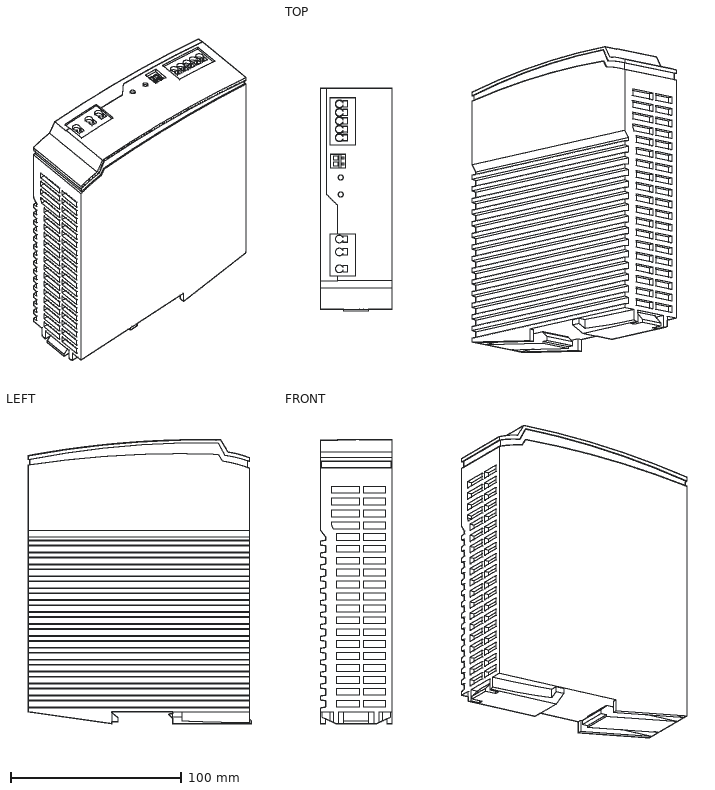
import cadquery as cq
import math

WIDTH = 42.0
DEPTH = 130.0
HEIGHT = 167.0
FLOOR_Z = 7.0
OVERCUT = 5.0

CAP_TOP = dict(front_z=156.3, nose=(12.7, 159.7), crown_y=17.0, apex=(28.0, HEIGHT), rear_z=157.6)
CAP_UNDERSIDE = dict(front_z=154.1, nose=(14.5, 157.7), crown_y=18.4, apex=(28.0, 165.1), rear_z=155.1)
SHOULDER = dict(front_z=150.2, nose=(16.0, 154.4), crown_y=18.4, apex=(41.0, 158.7), rear_z=152.0)

SLOPE_BULGE = 0.4

GROOVE_SIDE = 0.7
GROOVE_FRONT = 1.1
GROOVE_REAR = 0.8

BORDER_DROP = 0.3
BORDER_NARROW = 3.4
BORDER_WIDE = 9.9
BORDER_BEND_Y = 67.8

FIN_DEPTH = 3.0
FIN_PITCH = 7.0
FIN_COUNT = 15
FIRST_FIN_TOP = 9.4
FIN_TIP_GAP = 4.5
FIN_TOP_TAPER = 0.5
FIN_BOTTOM_TAPER = 0.4
FIN_RELIEF_ROOT_Z = 109.7
FIN_RELIEF_TIP_Z = 113.6

VENT_DEPTH = 3.0
VENT_HEIGHT = 4.0
VENT_PITCH = 7.0
LONG_VENT_ROWS = 4
LONG_VENT_TOP = 139.5
SHORT_VENT_ROWS = 15
SHORT_VENT_TOP = 111.8
LEFT_VENT_END = 23.0
LONG_VENT_START = 6.5
SHORT_VENT_START = 9.4
RIGHT_VENT = (25.3, 38.3)
VENT_CORNER_WIDTH = 1.0
VENT_CORNER_HEIGHT = 2.2

BLOCK_X = (5.7, 20.6)
BLOCK_RECESS = 1.6
REAR_BLOCK_Y = (96.5, 124.6)
FRONT_BLOCK_Y = (19.7, 44.4)
REAR_TERMINAL_COUNT = 5
REAR_TERMINAL_PITCH = 5.0
LAST_TERMINAL_Y = 121.2
REAR_TERMINALS_Y = [LAST_TERMINAL_Y - REAR_TERMINAL_PITCH * i for i in range(REAR_TERMINAL_COUNT)]
FRONT_TERMINALS_Y = [41.4, 33.8, 23.9]
WIRE_HOLE_X = 11.1
WIRE_HOLE_DIAMETER = 4.5
RELEASE_SLOT_X = (13.2, 15.9)
RELEASE_SLOT_LENGTH = 3.8
TERMINAL_DEPTH = 4.0

SWITCH_X = (5.8, 14.6)
SWITCH_Y = (83.1, 91.3)
SWITCH_RECESS = 2.0
SWITCH_KEY_X = (7.5, 10.4)
SWITCH_KEY_LENGTH = 2.3
SWITCH_KEYS_Y = (85.7, 89.2)
SWITCH_GROOVE_X = (10.9, 12.0)
SWITCH_MARK_X = (12.7, 13.9)
SWITCH_MARK_LENGTH = 1.2
SWITCH_DETAIL_DEPTH = 1.0
INDICATOR_X = 11.9
INDICATORS_Y = (67.6, 77.6)
INDICATOR_DIAMETER = 3.0
INDICATOR_DEPTH = 1.5

REAR_FOOT_Y = 80.8
FOOT_WALL = 3.0
HOOK_TIP_Y = 77.2
HOOK_BOTTOM_Z = 1.1
HOOK_TIP_Z = 3.6
HOOK_ROOT_Z = 6.6

FRONT_FOOT_Y = 45.2
FLANK_BLOCK_Y = 39.8
FLANK_X = 0.8
FLANK_Z = 3.9
FLANK_TIP_X = 9.2
RIB_X = (7.5, 10.6)
RIB_REAR_X = 5.6
RIB_CURVE_X = 7.1
LEVER_SLOT_DEPTH = 6.0

LEVER_X = (13.4, 28.3)
LEVER_REACH = 1.0
LEVER_LIP = 1.8
LEVER_SLOPE_Y = 4.0
LATCH_ROOT_Z = 3.2
LATCH_TIP = (47.6, 5.4)
LATCH_TOP = (46.6, 6.0)


def box(x_range, y_range, z_range):
    """Box between three coordinate ranges."""
    size = [high - low for low, high in (x_range, y_range, z_range)]
    corner = (x_range[0], y_range[0], z_range[0])
    return cq.Workplane("XY").box(*size, centered=False).translate(corner)


def extrude_side(sketch, x_range):
    """Extrude a closed YZ outline between two X positions."""
    return sketch.extrude(x_range[1] - x_range[0]).translate((x_range[0], 0, 0))


def side_prism(points, x_range):
    """Extrude a YZ polygon between two X positions."""
    return extrude_side(cq.Workplane("YZ").polyline(points).close(), x_range)


def front_prism(points, y_range):
    """Extrude an XZ polygon between two Y positions."""
    outline = cq.Workplane("XZ").polyline(points).close()
    return outline.extrude(y_range[0] - y_range[1]).translate((0, y_range[0], 0))


def plan_prism(points, z_range):
    """Extrude an XY polygon between two heights."""
    outline = cq.Workplane("XY").polyline(points).close()
    return outline.extrude(z_range[1] - z_range[0]).translate((0, 0, z_range[0]))


def mirrored(shape):
    """Shape together with its mirror image about the middle of the width."""
    other_side = shape.mirror("YZ").translate((WIDTH, 0, 0))
    return shape.union(other_side)


def arch_radius(top):
    run = DEPTH - top["apex"][0]
    sag = top["apex"][1] - top["rear_z"]
    return (run ** 2 + sag ** 2) / (2 * sag)


def arch_z(top, y):
    """Height of the crown arc at depth y."""
    radius = arch_radius(top)
    apex_y, apex_z = top["apex"]
    return apex_z - radius + math.sqrt(radius ** 2 - (y - apex_y) ** 2)


def crown_arc(sketch, top, y_end):
    """Continue a sketch along the crown from its front corner to y_end."""
    y_mid = (top["crown_y"] + y_end) / 2
    return sketch.threePointArc((y_mid, arch_z(top, y_mid)), (y_end, arch_z(top, y_end)))


def profile_solid(top, base_z, x_range):
    """Solid between a flat base and one of the top outlines."""
    crown_y = top["crown_y"]
    nose_y, nose_z = top["nose"]
    slope_middle = (nose_y / 2, (top["front_z"] + nose_z) / 2 + SLOPE_BULGE)
    sketch = cq.Workplane("YZ").moveTo(0, base_z).lineTo(0, top["front_z"])
    sketch = sketch.threePointArc(slope_middle, top["nose"]).lineTo(crown_y, arch_z(top, crown_y))
    sketch = crown_arc(sketch, top, DEPTH).lineTo(DEPTH, base_z).close()
    return extrude_side(sketch, x_range)


def make_housing():
    full_width = (0, WIDTH)
    body = profile_solid(SHOULDER, FLOOR_Z, full_width)
    cap_base = SHOULDER["front_z"] - OVERCUT
    cap = profile_solid(CAP_TOP, cap_base, full_width)
    cap = cap.cut(profile_solid(CAP_UNDERSIDE, cap_base, full_width))
    neck = profile_solid(CAP_UNDERSIDE, cap_base, (GROOVE_SIDE, WIDTH - GROOVE_SIDE))
    neck = neck.intersect(box(full_width, (GROOVE_FRONT, DEPTH - GROOVE_REAR), (cap_base, HEIGHT)))
    return body.union(neck).union(cap)


def make_border_cut():
    """Thin layer removed from the crown along its finned edge."""
    slope_end_y = BORDER_BEND_Y - (BORDER_WIDE - BORDER_NARROW)
    rear_y = DEPTH + OVERCUT
    plan = [
        (-OVERCUT, 0),
        (BORDER_WIDE, 0),
        (BORDER_WIDE, slope_end_y),
        (BORDER_NARROW, BORDER_BEND_Y),
        (BORDER_NARROW, rear_y),
        (-OVERCUT, rear_y),
    ]
    nose_y = CAP_TOP["nose"][0]
    above_z = HEIGHT + OVERCUT
    lowered = dict(
        CAP_TOP,
        crown_y=nose_y,
        apex=(CAP_TOP["apex"][0], HEIGHT - BORDER_DROP),
        rear_z=CAP_TOP["rear_z"] - BORDER_DROP,
    )
    layer = cq.Workplane("YZ").moveTo(nose_y, above_z).lineTo(nose_y, arch_z(lowered, nose_y))
    layer = crown_arc(layer, lowered, rear_y).lineTo(rear_y, above_z).close()
    layer = extrude_side(layer, (-OVERCUT, WIDTH))
    return layer.intersect(plan_prism(plan, (FLOOR_Z, above_z)))


def fin_gap(bottom_tip, bottom_root, top_root, top_tip):
    """Groove through the full depth, narrower at its root than at its mouth."""
    return front_prism(
        [(0, bottom_tip), (FIN_DEPTH, bottom_root), (FIN_DEPTH, top_root), (0, top_tip)],
        (0, DEPTH),
    )


def cut_fins(part):
    for row in range(FIN_COUNT):
        bottom_tip = FIRST_FIN_TOP + row * FIN_PITCH
        bottom_root = bottom_tip + FIN_TOP_TAPER
        top_tip = bottom_tip + FIN_TIP_GAP
        top_root = top_tip - FIN_BOTTOM_TAPER
        if row == FIN_COUNT - 1:
            top_tip = FIN_RELIEF_TIP_Z
            top_root = FIN_RELIEF_ROOT_Z
        part = part.cut(fin_gap(bottom_tip, bottom_root, top_root, top_tip))
    return part


def cut_vent_row(part, left_start, top_z):
    z_range = (top_z - VENT_HEIGHT, top_z)
    for x_range in ((left_start, LEFT_VENT_END), RIGHT_VENT):
        part = part.cut(box(x_range, (0, VENT_DEPTH), z_range))
    return part


def cut_vents(part):
    for row in range(LONG_VENT_ROWS):
        part = cut_vent_row(part, LONG_VENT_START, LONG_VENT_TOP - row * VENT_PITCH)
    for row in range(SHORT_VENT_ROWS):
        part = cut_vent_row(part, SHORT_VENT_START, SHORT_VENT_TOP - row * VENT_PITCH)
    return part.union(make_vent_corner())


def make_vent_corner():
    """Wedge that bevels the lower left corner of the lowest long vent."""
    corner_z = LONG_VENT_TOP - (LONG_VENT_ROWS - 1) * VENT_PITCH - VENT_HEIGHT
    return front_prism(
        [
            (LONG_VENT_START, corner_z),
            (LONG_VENT_START + VENT_CORNER_WIDTH, corner_z),
            (LONG_VENT_START, corner_z + VENT_CORNER_HEIGHT),
        ],
        (0, VENT_DEPTH),
    )


def on_crown(shape, y):
    """Move a shape built around the origin onto the crown at depth y, square to it."""
    slope = math.degrees(math.asin((y - CAP_TOP["apex"][0]) / arch_radius(CAP_TOP)))
    return shape.rotate((0, 0, 0), (1, 0, 0), -slope).translate((0, y, arch_z(CAP_TOP, y)))


def crown_slot(x_range, length, depth):
    """Rectangular cutter centred on y = 0, reaching down to the given depth."""
    return box(x_range, (-length / 2, length / 2), (-depth, OVERCUT))


def crown_hole(x, diameter, depth):
    """Round cutter on y = 0, reaching down to the given depth."""
    hole = cq.Workplane("XY").center(x, 0).circle(diameter / 2).extrude(depth + OVERCUT)
    return hole.translate((0, 0, -depth))


def make_terminal_block(y_range, terminals_y):
    """Recess with a round wire hole and a release slot for every terminal."""
    block_y = sum(y_range) / 2
    cutter = crown_slot(BLOCK_X, y_range[1] - y_range[0], BLOCK_RECESS)
    for y in terminals_y:
        hole = crown_hole(WIRE_HOLE_X, WIRE_HOLE_DIAMETER, TERMINAL_DEPTH)
        slot = crown_slot(RELEASE_SLOT_X, RELEASE_SLOT_LENGTH, TERMINAL_DEPTH)
        cutter = cutter.union(hole.union(slot).translate((0, y - block_y, 0)))
    return on_crown(cutter, block_y)


def make_switch_recess():
    """Recess with a full-length groove, two key pockets and two mark pockets."""
    switch_y = sum(SWITCH_Y) / 2
    switch_length = SWITCH_Y[1] - SWITCH_Y[0]
    detail_depth = SWITCH_RECESS + SWITCH_DETAIL_DEPTH
    cutter = crown_slot(SWITCH_X, switch_length, SWITCH_RECESS)
    cutter = cutter.union(crown_slot(SWITCH_GROOVE_X, switch_length, detail_depth))
    for y in SWITCH_KEYS_Y:
        key = crown_slot(SWITCH_KEY_X, SWITCH_KEY_LENGTH, detail_depth)
        mark = crown_slot(SWITCH_MARK_X, SWITCH_MARK_LENGTH, detail_depth)
        cutter = cutter.union(key.union(mark).translate((0, y - switch_y, 0)))
    return on_crown(cutter, switch_y)


def cut_crown_details(part):
    part = part.cut(make_border_cut())
    part = part.cut(make_terminal_block(REAR_BLOCK_Y, REAR_TERMINALS_Y))
    part = part.cut(make_terminal_block(FRONT_BLOCK_Y, FRONT_TERMINALS_Y))
    part = part.cut(make_switch_recess())
    for y in INDICATORS_Y:
        part = part.cut(on_crown(crown_hole(INDICATOR_X, INDICATOR_DIAMETER, INDICATOR_DEPTH), y))
    return part


def make_rear_foot():
    wedge = [(DEPTH, FLOOR_Z), (REAR_FOOT_Y, 0), (REAR_FOOT_Y, FLOOR_Z)]
    hook = [
        (REAR_FOOT_Y, HOOK_BOTTOM_Z),
        (HOOK_TIP_Y, HOOK_BOTTOM_Z),
        (HOOK_TIP_Y, HOOK_TIP_Z),
        (REAR_FOOT_Y, HOOK_ROOT_Z),
    ]
    centre_x = (RIB_X[1], WIDTH - RIB_X[1])
    walls = mirrored(side_prism(wedge, (0, FOOT_WALL)))
    return walls.union(side_prism(wedge, centre_x)).union(side_prism(hook, centre_x))


def make_front_foot():
    section = [
        (FLANK_X, FLOOR_Z),
        (FLANK_X, FLANK_Z),
        (FLANK_TIP_X, 0),
        (WIDTH - FLANK_TIP_X, 0),
        (WIDTH - FLANK_X, FLANK_Z),
        (WIDTH - FLANK_X, FLOOR_Z),
    ]
    foot = front_prism(section, (0, FRONT_FOOT_Y))
    hollow = (
        cq.Workplane("XY")
        .moveTo(RIB_X[0], 0)
        .threePointArc((RIB_CURVE_X, FLANK_BLOCK_Y / 2), (RIB_REAR_X, FLANK_BLOCK_Y))
        .lineTo(0, FLANK_BLOCK_Y)
        .lineTo(0, 0)
        .close()
        .extrude(FLOOR_Z)
    )
    lever_slot = box((RIB_X[1], WIDTH - RIB_X[1]), (0, LEVER_SLOT_DEPTH), (0, FLOOR_Z))
    return foot.cut(mirrored(hollow)).cut(lever_slot)


def make_release_lever():
    profile = [
        (LEVER_SLOPE_Y, FLOOR_Z),
        (-LEVER_REACH, LEVER_LIP),
        (-LEVER_REACH, 0),
        (FRONT_FOOT_Y, 0),
        (FRONT_FOOT_Y, LATCH_ROOT_Z),
        LATCH_TIP,
        LATCH_TOP,
        (FRONT_FOOT_Y, LATCH_TOP[1]),
        (FRONT_FOOT_Y, FLOOR_Z),
    ]
    return side_prism(profile, LEVER_X)


housing = cut_crown_details(cut_vents(cut_fins(make_housing())))
result = housing.union(make_rear_foot()).union(make_front_foot()).union(make_release_lever())